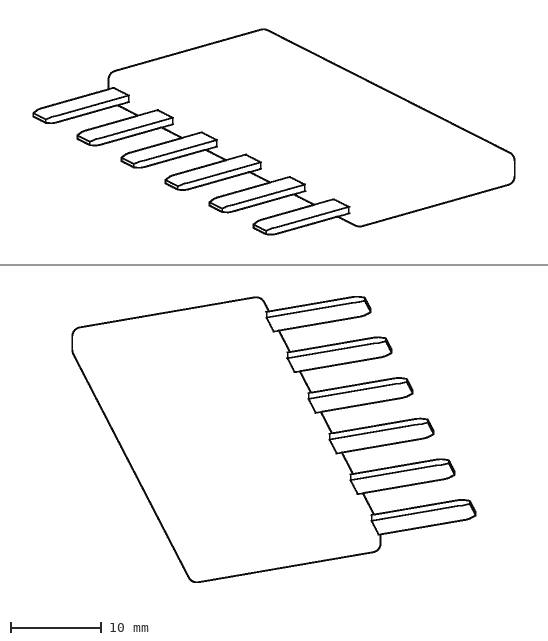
import cadquery as cq

HOUSING_LENGTH = 46.5
HOUSING_DEPTH = 22.1
HOUSING_HEIGHT = 3.85
EDGE_RADIUS = 1.0

PRONG_COUNT = 6
PRONG_PITCH = 8.1
PRONG_WIDTH = 2.8
COMB_THICKNESS = 0.8
OVERALL_DEPTH = 33.3
PRONG_REACH = OVERALL_DEPTH - HOUSING_DEPTH
SPINE_DEPTH = PRONG_WIDTH
SPINE_CENTER_Y = HOUSING_DEPTH / 2
SPINE_LENGTH = (PRONG_COUNT - 1) * PRONG_PITCH + PRONG_WIDTH

SIDE_BEVEL_LENGTH = 1.2
SIDE_BEVEL_INSET = 0.25
FACE_BEVEL_LENGTH = 0.75
FACE_BEVEL_INSET = 0.2


def make_housing_block():
    """Block with every outer edge rounded."""
    block = cq.Workplane("XY").box(HOUSING_LENGTH, HOUSING_DEPTH, HOUSING_HEIGHT)
    return block.edges().fillet(EDGE_RADIUS).translate((0, HOUSING_DEPTH / 2, 0))


def tapered_outline(plane, width, bevel_length, bevel_inset):
    """Closed outline of a prong, narrowing towards its tip."""
    half_width = width / 2
    tip_half_width = half_width - bevel_inset
    bevel_start = bevel_length - PRONG_REACH
    return (
        cq.Workplane(plane)
        .polyline([
            (-half_width, SPINE_CENTER_Y),
            (-half_width, bevel_start),
            (-tip_half_width, -PRONG_REACH),
            (tip_half_width, -PRONG_REACH),
            (half_width, bevel_start),
            (half_width, SPINE_CENTER_Y),
        ])
        .close()
    )


def make_prong(center_x):
    """Prong bevelled on all four sides of its tip, reaching back into the spine."""
    plan = tapered_outline("XY", PRONG_WIDTH, SIDE_BEVEL_LENGTH, SIDE_BEVEL_INSET)
    profile_plane = cq.Plane(origin=(0, 0, 0), xDir=(0, 0, 1), normal=(-1, 0, 0))
    profile = tapered_outline(profile_plane, COMB_THICKNESS, FACE_BEVEL_LENGTH, FACE_BEVEL_INSET)
    plan_solid = plan.extrude(COMB_THICKNESS / 2, both=True)
    profile_solid = profile.extrude(PRONG_WIDTH / 2, both=True)
    return plan_solid.intersect(profile_solid).translate((center_x, 0, 0))


def make_comb():
    """Spine with equally spaced prongs, as one solid."""
    spine = cq.Workplane("XY").box(SPINE_LENGTH, SPINE_DEPTH, COMB_THICKNESS)
    comb = spine.translate((0, SPINE_CENTER_Y, 0))
    for index in range(PRONG_COUNT):
        center_x = (index - (PRONG_COUNT - 1) / 2) * PRONG_PITCH
        comb = comb.union(make_prong(center_x))
    return comb


comb = make_comb()
housing = make_housing_block().cut(comb)

result = cq.Compound.makeCompound([housing.solids().val(), comb.solids().val()])